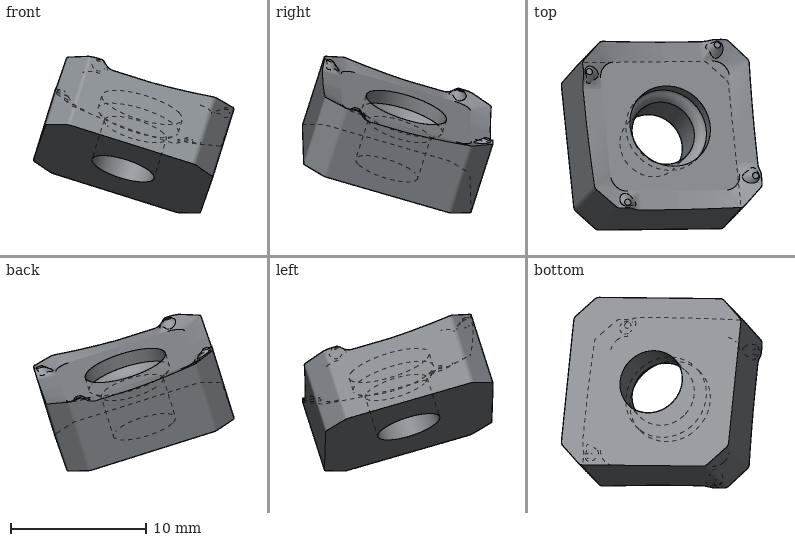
import cadquery as cq
import math

half_width = 6.48
corner_start = 4.88
corner_radius = 0.48

land_height = 4.97
land_half = 5.0
land_radius = 1.19
land_straight = land_half - land_radius

middle_height = 5.04
high_corner = 5.56
low_corner = 5.44
sag_height = 5.19
shoulder = -3.87
drop_end = -2.9

bump_x = -4.09
bump_y = -6.04
bump_base_height = 4.83
bump_top_height = 5.59
bump_base_radius = 1.1
bump_top_radius = 0.24

hole_radius = 4.8 / 2
head_radius = 3.11
seat_radius = 2.96
wall_depth = 1.04
seat_depth = 1.19
bore_depth = 1.78
seat_bulge = 0.06

side_direction = cq.Vector(0.954, 0.0105, -0.2996)
hole_axis = cq.Vector(0.284, 0.293, 0.913)

quarter_turns = [0, 90, 180, 270]


def line(start, end):
    return cq.Edge.makeLine(cq.Vector(*start), cq.Vector(*end))


def around_axis(shape, angle):
    return shape.rotate(cq.Vector(0, 0, 0), cq.Vector(0, 0, 1), angle)


def planar_face(edges):
    return cq.Face.makeFromWires(cq.Wire.combine(edges)[0])


def quarter_shell():
    """Faces of the -Y side and the corner after it, and the land edges they meet."""
    seat_start = (-corner_start, -half_width, 0)
    seat_end = (corner_start, -half_width, 0)
    next_seat = (half_width, -corner_start, 0)
    high = (-corner_start, -half_width, high_corner)
    dip = (drop_end, -half_width, middle_height)
    middle = (0, -half_width, middle_height)
    sag = (corner_start / 2, -half_width, sag_height)
    low = (corner_start, -half_width, low_corner)
    next_high = (half_width, -corner_start, high_corner)

    drop = cq.Edge.makeSpline(
        [cq.Vector(*high), cq.Vector(shoulder, -half_width, high_corner), cq.Vector(*dip)],
        tangents=[cq.Vector(1, 0, 0), cq.Vector(1, 0, 0)],
    )
    rise = cq.Edge.makeThreePointArc(cq.Vector(*middle), cq.Vector(*sag), cq.Vector(*low))
    corner_edge = line(low, next_high)
    side_edges = [drop, line(dip, middle), rise]

    land_start = (-land_straight, -land_half, land_height)
    land_dip = (drop_end, -land_half, land_height)
    land_middle = (0, -land_half, land_height)
    land_end = (land_straight, -land_half, land_height)
    land_next = (land_half, -land_straight, land_height)
    bend = land_straight + land_radius * math.sqrt(0.5)
    land_arc = cq.Edge.makeThreePointArc(
        cq.Vector(*land_end), cq.Vector(bend, -bend, land_height), cq.Vector(*land_next)
    )
    land_edges = [
        line(land_start, land_dip),
        line(land_dip, land_middle),
        line(land_middle, land_end),
        land_arc,
    ]

    rim_edges = side_edges + [corner_edge]
    faces = [cq.Face.makeRuledSurface(rim, land) for rim, land in zip(rim_edges, land_edges)]
    side_outline = [line(seat_start, seat_end), line(seat_end, low), line(high, seat_start)]
    corner_outline = [line(seat_end, next_seat), line(next_seat, next_high), line(low, seat_end)]
    for outline in (side_outline + side_edges, corner_outline + [corner_edge]):
        faces.append(planar_face(outline))
    seat_edges = [line(seat_start, seat_end), line(seat_end, next_seat)]
    return faces, land_edges, seat_edges


def make_body():
    faces = []
    land_outline = []
    seat_outline = []
    for angle in quarter_turns:
        quarter_faces, land_edges, seat_edges = quarter_shell()
        faces += [around_axis(face, angle) for face in quarter_faces]
        land_outline += [around_axis(edge, angle) for edge in land_edges]
        seat_outline += [around_axis(edge, angle) for edge in seat_edges]
    faces += [planar_face(land_outline), planar_face(seat_outline)]
    return cq.Workplane(obj=cq.Solid.makeSolid(cq.Shell.makeShell(faces)).fix())


def make_rounded_envelope():
    outline = []
    for angle in quarter_turns:
        c, s = round(math.cos(math.radians(angle))), round(math.sin(math.radians(angle)))
        for x, y in ((-corner_start, -half_width), (corner_start, -half_width)):
            outline.append((c * x - s * y, s * x + c * y))
    return cq.Workplane().polyline(outline).close().extrude(bump_top_height).edges("|Z").fillet(corner_radius)


def make_bump(angle):
    cone = cq.Solid.makeCone(
        bump_base_radius,
        bump_top_radius,
        bump_top_height - bump_base_height,
        pnt=cq.Vector(bump_x, bump_y, bump_base_height),
    )
    return around_axis(cone, angle)


def make_hole():
    seat_top = (seat_radius, land_height - seat_depth)
    bore_top = (hole_radius, land_height - bore_depth)
    run = seat_radius - hole_radius
    drop = bore_depth - seat_depth
    slope = math.hypot(run, drop)
    seat_middle = (
        (seat_radius + hole_radius) / 2 - seat_bulge * drop / slope,
        land_height - (seat_depth + bore_depth) / 2 + seat_bulge * run / slope,
    )
    profile = (
        cq.Workplane("XZ")
        .lineTo(hole_radius, 0)
        .lineTo(*bore_top)
        .threePointArc(seat_middle, seat_top)
        .lineTo(head_radius, land_height - wall_depth)
        .lineTo(head_radius, land_height)
        .lineTo(0, land_height)
        .close()
    )
    return profile.revolve(360, (0, 0), (0, 1))


insert = make_body()
for quarter_angle in quarter_turns:
    insert = insert.union(cq.Workplane(obj=make_bump(quarter_angle)))
insert = insert.intersect(make_rounded_envelope()).cut(make_hole())

attitude = cq.Plane(origin=(0, 0, 0), xDir=side_direction, normal=hole_axis)
result = cq.Workplane(obj=insert.val().moved(cq.Location(attitude)))